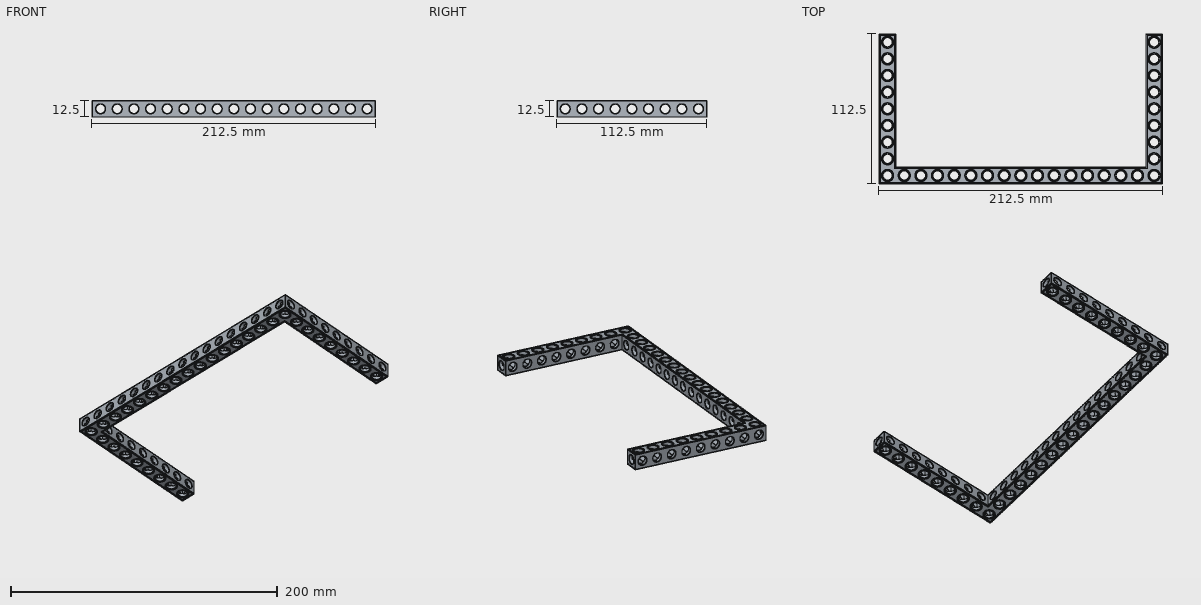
import cadquery as cq

length = 212.5
bar_holes = 17
leg_holes = 9
hole_diameter = 7.0
rim_width = 1.1
recess_depth = 0.2
edge_chamfer = 0.3

pitch = length / bar_holes
depth = leg_holes * pitch
half = pitch / 2

ring_diameter = hole_diameter + 2 * rim_width

x_axis = cq.Vector(1, 0, 0)
y_axis = cq.Vector(0, 1, 0)
z_axis = cq.Vector(0, 0, 1)


def u_prism(inset, height):
    """U-shaped slab whose outline lies inside the frame outline by the inset."""
    arm = pitch - 2 * inset
    outer = cq.Workplane("XY").box(length - 2 * inset, depth - 2 * inset, height, centered=False)
    opening = (
        cq.Workplane("XY")
        .box(length - 2 * inset - 2 * arm, depth - 2 * inset - arm, height, centered=False)
        .translate((arm, arm, 0))
    )
    return outer.cut(opening).translate((inset, inset, 0))


def chamfered_frame():
    """Square-section frame with every edge chamfered except the two inside corners."""
    frame = u_prism(0, pitch)
    inside_corners = cq.selectors.BoxSelector(
        (half, half, half / 2), (length - half, pitch + half, pitch - half / 2)
    )
    return frame.edges(cq.selectors.InverseSelector(inside_corners)).chamfer(edge_chamfer)


def hole(face_point, direction, hole_length):
    """Straight hole with a chamfered rim at both ends."""
    start = cq.Vector(*face_point)
    end = start + direction * hole_length
    return [
        cq.Solid.makeCylinder(hole_diameter / 2, hole_length, start, direction),
        rim_cone(start, direction),
        rim_cone(end, -direction),
    ]


def rim_cone(point, direction):
    radius = hole_diameter / 2
    return cq.Solid.makeCone(radius + edge_chamfer, radius, edge_chamfer, point, direction)


columns = [half + i * pitch for i in range(bar_holes)]
rows = [half + i * pitch for i in range(leg_holes)]
leg_columns = (columns[0], columns[-1])
vertical_centres = [(x, rows[0]) for x in columns] + [(x, y) for x in leg_columns for y in rows[1:]]

rings = cq.Workplane("XY").pushPoints(vertical_centres).circle(ring_diameter / 2).extrude(recess_depth)
recess = u_prism(rim_width, recess_depth).cut(rings)
body = chamfered_frame().cut(recess).cut(recess.translate((0, 0, pitch - recess_depth)))

cutters = []

for x, y in vertical_centres:
    cutters += hole((x, y, 0), z_axis, pitch)

for x in columns:
    cutters += hole((x, 0, half), y_axis, depth if x in leg_columns else pitch)

cutters += hole((0, rows[0], half), x_axis, length)
for y in rows[1:]:
    cutters += hole((0, y, half), x_axis, pitch)
    cutters += hole((length - pitch, y, half), x_axis, pitch)

result = cq.Workplane(obj=body.val().cut(*cutters))